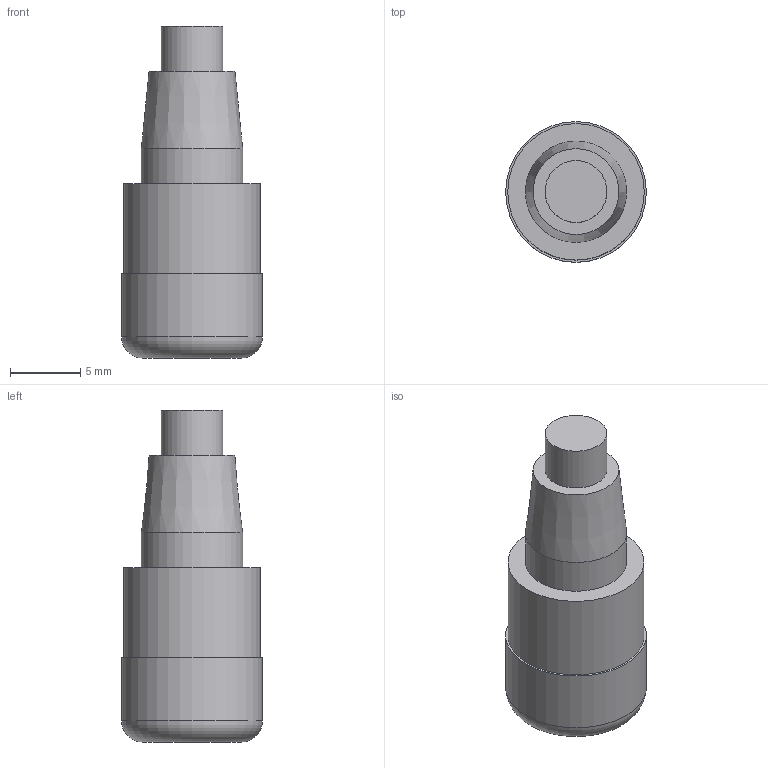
import cadquery as cq

cap_diameter = 10.0
cap_height = 6.0
cap_rim_radius = 1.5

barrel_diameter = 9.7
barrel_length = 6.4
collar_diameter = 7.2
collar_length = 2.5
taper_top_diameter = 6.1
taper_length = 5.5
tip_diameter = 4.4
tip_length = 3.2


def make_cap():
    """Round cap with its flat base at Z = 0."""
    cap = cq.Workplane("XY").circle(cap_diameter / 2).extrude(cap_height)
    return cap.faces("<Z").edges().fillet(cap_rim_radius)


def make_plug():
    """Barrel, collar, taper and tip, revolved about Z as one solid."""
    barrel_top = cap_height + barrel_length
    collar_top = barrel_top + collar_length
    taper_top = collar_top + taper_length
    tip_top = taper_top + tip_length
    half_profile = [
        (0, cap_height),
        (barrel_diameter / 2, cap_height),
        (barrel_diameter / 2, barrel_top),
        (collar_diameter / 2, barrel_top),
        (collar_diameter / 2, collar_top),
        (taper_top_diameter / 2, taper_top),
        (tip_diameter / 2, taper_top),
        (tip_diameter / 2, tip_top),
        (0, tip_top),
    ]
    return cq.Workplane("XZ").polyline(half_profile).close().revolve(360, (0, 0, 0), (0, 1, 0))


cap = make_cap()
plug = make_plug()

result = cq.Compound.makeCompound([cap.val(), plug.val()])